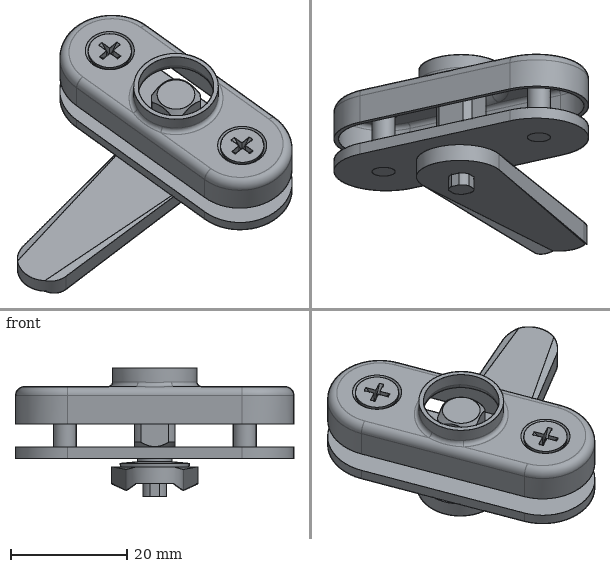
import cadquery as cq
import math


BODY_LENGTH = 48.0
BODY_WIDTH = 18.0
SCREW_OFFSET = 15.5
SCREW_PLACES = (-SCREW_OFFSET, SCREW_OFFSET)
TOLERANCE = 0.005

PLATE_THICKNESS = 2.0
PLATE_BOTTOM = 6.55
PLATE_TOP = PLATE_BOTTOM + PLATE_THICKNESS

HOUSING_HEIGHT = 6.5
HOUSING_BOTTOM = 12.5
HOUSING_TOP = HOUSING_BOTTOM + HOUSING_HEIGHT
HOUSING_EDGE_RADIUS = 1.6
COLLAR_DIAMETER = 14.6
BORE_DIAMETER = 13.0
COLLAR_HEIGHT = 3.2
COLLAR_TOP = HOUSING_TOP + COLLAR_HEIGHT
WALL = (COLLAR_DIAMETER - BORE_DIAMETER) / 2
COLLAR_BASE_RADIUS = WALL

SCREW_DIAMETER = 4.0
SCREW_HEAD_DIAMETER = 7.5
HEAD_RIM_HEIGHT = 0.5
CROSS_LENGTH = 4.4
CROSS_WIDTH = 0.75
CROSS_DEPTH = 2.4

SQUARE_WIDTH = 7.0
SQUARE_CORNER_DIAMETER = 8.5
TOP_CHAMFER = 1.0
BOTTOM_CHAMFER = 0.8
SPINDLE_TOP = 19.9
NECK_DIAMETER = 6.0
DRIVE_WIDTH = 4.1
DRIVE_CORNER_DIAMETER = 4.35

LEVER_TOP = 5.15
LEVER_THICKNESS = 2.95
LEVER_BOTTOM = LEVER_TOP - LEVER_THICKNESS
HUB_RADIUS = 7.5
HUB_CENTER_Y = 0.5
TIP_RADIUS = 5.0
TIP_END_Y = -38.0
TIP_CENTER_Y = TIP_END_Y + TIP_RADIUS
SIDE_SINE = (HUB_RADIUS - TIP_RADIUS) / (HUB_CENTER_Y - TIP_CENTER_Y)
SIDE_COSINE = math.sqrt(1 - SIDE_SINE**2)
HUB_TANGENT = (HUB_RADIUS * SIDE_COSINE, HUB_CENTER_Y - HUB_RADIUS * SIDE_SINE)
TIP_TANGENT = (TIP_RADIUS * SIDE_COSINE, TIP_CENTER_Y - TIP_RADIUS * SIDE_SINE)

FOLD_TIP_X = 3.2
TOP_FOLD_SLOPE = 0.34
BOTTOM_FOLD_SLOPE = 0.85
FOLD_REACH = 3.85

WASHER_RADIUS = 6.0
WASHER_EDGE_INSET = 0.1
WASHER_THICKNESS = 0.6
WASHER_RISE = 0.3


def cylinder(diameter, bottom, top, x=0.0):
    return cq.Workplane("XY", origin=(x, 0, bottom)).circle(diameter / 2).extrude(top - bottom)


def stadium(bottom, height):
    return cq.Workplane("XY", origin=(0, 0, bottom)).slot2D(BODY_LENGTH, BODY_WIDTH).extrude(height)


def revolved(points, x=0.0):
    profile = cq.Workplane("XZ").polyline(points).close()
    return profile.revolve(360, (0, 0, 0), (0, 1, 0)).translate((x, 0, 0))


def countersink(x):
    """A 45 degree cone that holds the screw head and opens wider than its rim at the top face."""
    mouth_radius = SCREW_HEAD_DIAMETER / 2 + HEAD_RIM_HEIGHT
    return revolved([(0, HOUSING_TOP), (mouth_radius, HOUSING_TOP), (0, HOUSING_TOP - mouth_radius)], x)


def is_collar_base(edge):
    on_top_face = math.isclose(edge.Center().z, HOUSING_TOP, abs_tol=TOLERANCE)
    return on_top_face and math.isclose(edge.radius(), COLLAR_DIAMETER / 2, abs_tol=TOLERANCE)


def make_housing():
    """A rounded cover with a round collar, hollowed to an even wall and open at both ends."""
    cover = stadium(HOUSING_BOTTOM, HOUSING_HEIGHT).faces(">Z").edges().fillet(HOUSING_EDGE_RADIUS)
    collar = cylinder(COLLAR_DIAMETER, HOUSING_BOTTOM, COLLAR_TOP)
    cover = cover.union(collar)
    collar_base = [edge for edge in cover.edges("%CIRCLE").vals() if is_collar_base(edge)]
    cover = cover.newObject(collar_base).fillet(COLLAR_BASE_RADIUS)
    cover = cover.faces("<Z or >Z").shell(-WALL)
    for x in SCREW_PLACES:
        cover = cover.cut(countersink(x))
    return cover


def make_plate():
    plate = stadium(PLATE_BOTTOM, PLATE_THICKNESS)
    plate = plate.cut(cylinder(NECK_DIAMETER, PLATE_BOTTOM, PLATE_TOP))
    for x in SCREW_PLACES:
        plate = plate.cut(cylinder(SCREW_DIAMETER, PLATE_BOTTOM, PLATE_TOP, x))
    return plate


def cross_slot():
    """One slot of the recess, with sloped ends down to a floor as long as the slot is wide."""
    half_length = CROSS_LENGTH / 2
    half_floor = CROSS_WIDTH / 2
    floor = HOUSING_TOP - CROSS_DEPTH
    return (
        cq.Workplane("XZ")
        .polyline(
            [
                (-half_length, HOUSING_TOP),
                (half_length, HOUSING_TOP),
                (half_floor, floor),
                (-half_floor, floor),
            ]
        )
        .close()
        .extrude(CROSS_WIDTH / 2, both=True)
    )


def make_screw(x):
    """A screw flush with the housing top and the plate bottom."""
    head_radius = SCREW_HEAD_DIAMETER / 2
    shank_radius = SCREW_DIAMETER / 2
    rim_bottom = HOUSING_TOP - HEAD_RIM_HEIGHT
    head_bottom = rim_bottom - (head_radius - shank_radius)
    screw = revolved(
        [
            (0, PLATE_BOTTOM),
            (shank_radius, PLATE_BOTTOM),
            (shank_radius, head_bottom),
            (head_radius, rim_bottom),
            (head_radius, HOUSING_TOP),
            (0, HOUSING_TOP),
        ]
    )
    slot = cross_slot()
    crossing_slot = slot.rotate((0, 0, 0), (0, 0, 1), 90)
    return screw.cut(slot).cut(crossing_slot).translate((x, 0, 0))


def square_bar(width, bottom, top):
    return cq.Workplane("XY", origin=(0, 0, bottom)).rect(width, width).extrude(top - bottom)


def make_drive_end():
    """The lower end of the spindle, which also shapes the hole in the lever."""
    return square_bar(DRIVE_WIDTH, 0, LEVER_TOP).intersect(cylinder(DRIVE_CORNER_DIAMETER, 0, LEVER_TOP))


def make_spindle():
    """The square rests on the plate; its corners and both its ends are turned."""
    turned = cylinder(SQUARE_CORNER_DIAMETER, PLATE_TOP, SPINDLE_TOP)
    turned = turned.faces(">Z").chamfer(TOP_CHAMFER).faces("<Z").chamfer(BOTTOM_CHAMFER)
    square = square_bar(SQUARE_WIDTH, PLATE_TOP, SPINDLE_TOP).intersect(turned)
    neck = cylinder(NECK_DIAMETER, LEVER_TOP, PLATE_TOP)
    return square.union(neck).union(make_drive_end())


def make_washer():
    inner = NECK_DIAMETER / 2
    profile = [
        (inner, LEVER_TOP + WASHER_RISE),
        (WASHER_RADIUS - WASHER_EDGE_INSET, LEVER_TOP),
        (WASHER_RADIUS, LEVER_TOP + WASHER_THICKNESS),
        (inner, LEVER_TOP + WASHER_THICKNESS + WASHER_RISE),
    ]
    return revolved(profile)


def lever_blank(bottom, top):
    return (
        cq.Workplane("XY", origin=(0, 0, bottom))
        .moveTo(*HUB_TANGENT)
        .threePointArc((0, HUB_CENTER_Y + HUB_RADIUS), (-HUB_TANGENT[0], HUB_TANGENT[1]))
        .lineTo(-TIP_TANGENT[0], TIP_TANGENT[1])
        .threePointArc((0, TIP_END_Y), TIP_TANGENT)
        .close()
        .extrude(top - bottom)
    )


def fold_wedges(level, slope):
    """Two mirrored wedges outside the fold lines, below the given level, deeper further outwards."""
    fold_tip_y = TIP_CENTER_Y - math.sqrt(TIP_RADIUS**2 - FOLD_TIP_X**2)
    along = cq.Vector(FOLD_TIP_X - HUB_TANGENT[0], fold_tip_y - HUB_TANGENT[1], 0)
    outward = cq.Vector(-along.y, along.x, 0)
    plane = cq.Plane(origin=(*HUB_TANGENT, level), xDir=outward, normal=along)
    outer_height = -slope * FOLD_REACH
    wedge = cq.Workplane(plane).polyline([(0, 0), (FOLD_REACH, 0), (FOLD_REACH, outer_height)]).close()
    wedge = wedge.extrude(along.Length + FOLD_REACH)
    return wedge.union(wedge.mirror("YZ"))


def make_lever():
    """A plate whose long sides are bent down along the fold lines."""
    lever = lever_blank(LEVER_BOTTOM, LEVER_TOP).cut(fold_wedges(LEVER_TOP, TOP_FOLD_SLOPE))
    flanges = lever_blank(0, LEVER_BOTTOM).intersect(fold_wedges(LEVER_BOTTOM, BOTTOM_FOLD_SLOPE))
    return lever.union(flanges).cut(make_drive_end())


housing = make_housing()
plate = make_plate()
spindle = make_spindle()
washer = make_washer()
lever = make_lever()
screws = [make_screw(x) for x in SCREW_PLACES]

result = cq.Compound.makeCompound(
    [
        housing.val(),
        plate.val(),
        spindle.val(),
        washer.val(),
        lever.val(),
        *[screw.val() for screw in screws],
    ]
)